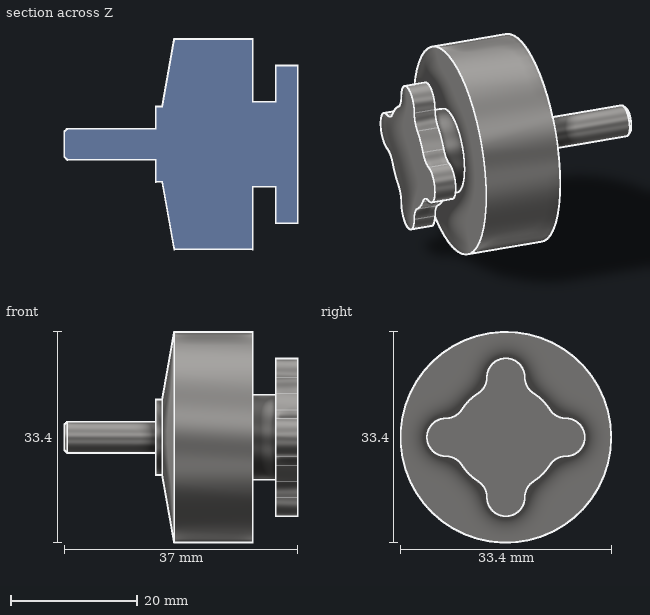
import cadquery as cq
import math


shaft_diameter = 5.0
shaft_length = 14.5
shaft_chamfer = 0.5

collar_diameter = 12.0
collar_length = 1.0

can_diameter = 33.4
cone_length = 1.9
can_length = 12.5

neck_diameter = 13.5
neck_length = 3.6

plate_thickness = 3.5
lobe_count = 4
lobe_radius = 3.0
lobe_pitch_radius = 9.5
fillet_radius = 3.0

collar_start = shaft_length
cone_start = collar_start + collar_length
can_start = cone_start + cone_length
can_end = can_start + can_length
plate_start = can_end + neck_length


def make_turned_body():
    """Shaft, collar, cone, can and neck, revolved about X."""
    shaft_radius = shaft_diameter / 2
    collar_radius = collar_diameter / 2
    can_radius = can_diameter / 2
    neck_radius = neck_diameter / 2
    half_profile = [
        (0, 0),
        (0, shaft_radius - shaft_chamfer),
        (shaft_chamfer, shaft_radius),
        (collar_start, shaft_radius),
        (collar_start, collar_radius),
        (cone_start, collar_radius),
        (can_start, can_radius),
        (can_end, can_radius),
        (can_end, neck_radius),
        (plate_start, neck_radius),
        (plate_start, 0),
    ]
    return cq.Workplane("XY").polyline(half_profile).close().revolve(360, (0, 0), (1, 0))


def polar(radius, angle):
    """Y and Z of a point given by its radius and angle about the axis."""
    return (radius * math.cos(angle), radius * math.sin(angle))


def make_mounting_plate():
    """Plate whose lobes blend through concave fillets into a round waist."""
    fillet_offset = lobe_radius + fillet_radius
    fillet_centre_radius = math.hypot(lobe_pitch_radius, fillet_offset)
    fillet_angle = math.atan2(fillet_offset, lobe_pitch_radius)
    waist_radius = fillet_centre_radius - fillet_radius

    side_radius = math.hypot(lobe_pitch_radius, lobe_radius)
    side_angle = math.atan2(lobe_radius, lobe_pitch_radius)
    tip_radius = lobe_pitch_radius + lobe_radius

    lobe_side_direction = -math.pi / 2
    waist_side_direction = fillet_angle - math.pi
    fillet_mid_direction = (lobe_side_direction + waist_side_direction) / 2
    fillet_mid_along = lobe_pitch_radius + fillet_radius * math.cos(fillet_mid_direction)
    fillet_mid_across = fillet_offset + fillet_radius * math.sin(fillet_mid_direction)
    fillet_mid_radius = math.hypot(fillet_mid_along, fillet_mid_across)
    fillet_mid_angle = math.atan2(fillet_mid_across, fillet_mid_along)

    lobe_spacing = 2 * math.pi / lobe_count
    outline = cq.Workplane("YZ", origin=(plate_start, 0, 0)).moveTo(*polar(side_radius, -side_angle))
    for index in range(lobe_count):
        lobe = index * lobe_spacing
        next_lobe = lobe + lobe_spacing
        outline = (
            outline
            .threePointArc(polar(tip_radius, lobe), polar(side_radius, lobe + side_angle))
            .threePointArc(
                polar(fillet_mid_radius, lobe + fillet_mid_angle),
                polar(waist_radius, lobe + fillet_angle),
            )
            .threePointArc(
                polar(waist_radius, lobe + lobe_spacing / 2),
                polar(waist_radius, next_lobe - fillet_angle),
            )
            .threePointArc(
                polar(fillet_mid_radius, next_lobe - fillet_mid_angle),
                polar(side_radius, next_lobe - side_angle),
            )
        )
    return outline.close().extrude(plate_thickness)


result = make_turned_body().union(make_mounting_plate())